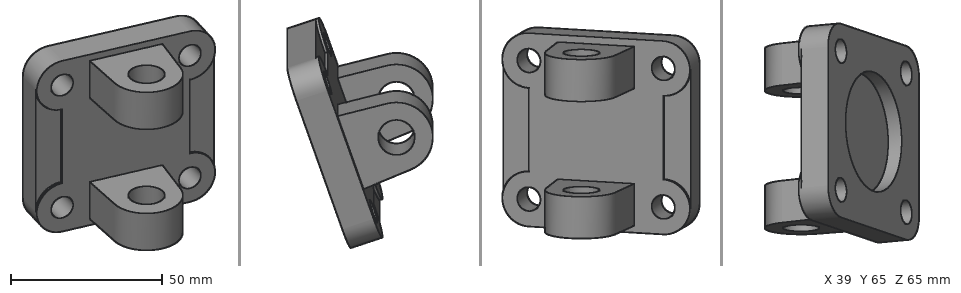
import cadquery as cq
import math

flange_side = 65.0
flange_thickness = 11.0
corner_radius = 9.2
bolt_hole_diameter = 8.0
recess_diameter = 40.0
recess_depth = 5.0
relief_depth = 1.0

overall_length = 39.0
lug_tip_radius = 12.0
lug_hole_diameter = 12.0
lug_root_width = 26.5
lug_thickness = 14.1
lug_gap = 32.0

bolt_offset = flange_side / 2 - corner_radius
lug_eye_x = overall_length - lug_tip_radius


def make_flange():
    """Rounded plate with bolt holes, a blind round recess and shallow side reliefs."""
    side_bar_thickness = flange_thickness - relief_depth
    bolt_holes = bolt_pattern().circle(bolt_hole_diameter / 2).extrude(flange_thickness)
    recess = cq.Workplane("YZ").circle(recess_diameter / 2).extrude(recess_depth)
    side_bars = cq.Workplane("YZ").rect(flange_side, 2 * bolt_offset).extrude(side_bar_thickness)
    return make_raised_body().union(side_bars).cut(bolt_holes).cut(recess)


def bolt_pattern():
    """Workplane with the four bolt centres selected."""
    return (
        cq.Workplane("YZ")
        .rect(2 * bolt_offset, 2 * bolt_offset, forConstruction=True)
        .vertices()
    )


def make_raised_body():
    """Full-thickness central band with half-round pads at the four bolt holes."""
    half_side = flange_side / 2
    pad_end_z = bolt_offset - corner_radius
    return (
        cq.Workplane("YZ")
        .moveTo(bolt_offset, -pad_end_z)
        .lineTo(bolt_offset, pad_end_z)
        .threePointArc((half_side, bolt_offset), (bolt_offset, half_side))
        .lineTo(-bolt_offset, half_side)
        .threePointArc((-half_side, bolt_offset), (-bolt_offset, pad_end_z))
        .lineTo(-bolt_offset, -pad_end_z)
        .threePointArc((-half_side, -bolt_offset), (-bolt_offset, -half_side))
        .lineTo(bolt_offset, -half_side)
        .threePointArc((half_side, -bolt_offset), (bolt_offset, -pad_end_z))
        .close()
        .extrude(flange_thickness)
    )


def make_lug(bottom_z):
    """Tapered lug whose straight sides run tangent into the round tip."""
    root_half_width = lug_root_width / 2
    root_to_eye = lug_eye_x - flange_thickness
    root_distance = math.hypot(root_to_eye, root_half_width)
    root_angle = math.pi - math.atan2(root_half_width, root_to_eye)
    tangent_angle = root_angle - math.acos(lug_tip_radius / root_distance)
    tangent_x = lug_eye_x + lug_tip_radius * math.cos(tangent_angle)
    tangent_y = lug_tip_radius * math.sin(tangent_angle)
    return (
        cq.Workplane("XY", origin=(0, 0, bottom_z))
        .moveTo(flange_thickness, -root_half_width)
        .lineTo(tangent_x, -tangent_y)
        .threePointArc((overall_length, 0), (tangent_x, tangent_y))
        .lineTo(flange_thickness, root_half_width)
        .close()
        .moveTo(lug_eye_x, 0)
        .circle(lug_hole_diameter / 2)
        .extrude(lug_thickness)
    )


upper_lug = make_lug(lug_gap / 2)
lower_lug = make_lug(-lug_gap / 2 - lug_thickness)
result = make_flange().union(upper_lug).union(lower_lug)